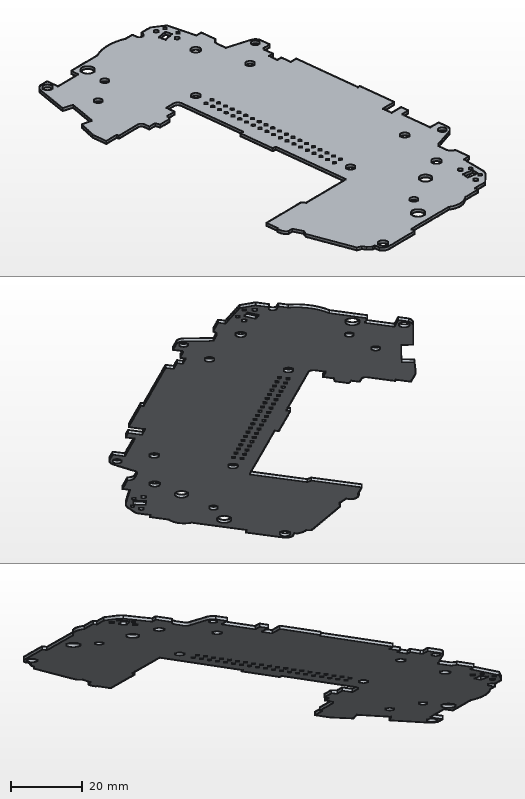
import cadquery as cq

thickness = 1.0
cut_margin = 1.3

left_x, right_x = -65.3, 65.3
left_side_x, right_side_x = -64.0, 63.9
left_bulge_y, left_bulge_half = 5.9, 6.0
right_bulge_x, right_bulge_y, right_bulge_half = 65.1, 7.8, 3.4
corner_start_y = -22.9
right_step_y, right_ledge_y = 16.7, -11.6
upper_left_x, upper_right_x = -62.9, 62.7
top_y = 36.5
shoulder_y = 26.9
shoulder_tab_y = 28.5
left_tab_start_x, left_tab_end_x = -50.3, -45.0
right_tab_start_x, right_tab_end_x = 45.0, 50.2
inner_y = -3.7
left_leg_x, right_leg_x = -30.8, 32.4
inner_corner = 1.3
left_foot_x, right_foot_x = -31.6, 31.2
left_foot_step_y = -28.5
left_foot_y, right_foot_y = -32.9, -36.1
lowest_y = -36.5
left_notch_x, left_notch_top_y, left_notch_bottom_y = -61.3, -11.2, -19.9

top_openings = [
    (-31.6, -21.0, 33.3),
    (-27.7, -24.6, 31.6),
    (-21.0, 2.1, 35.7),
    (15.0, 18.3, 31.6),
    (18.3, 21.0, 35.7),
    (21.0, 31.6, 32.9),
]

opening_blend_width, opening_blend_height = 0.7, 0.4

lug_tip_x, lug_root_x = -26.1, -27.7
lug_bottom_y, lug_top_y = -16.6, -11.5
lug_bottom_slant, lug_top_slant = 0.3, 0.7
lug_root_overlap = 0.7
tab_corner = 1.3
leg_tab_bottom_y = -19.1

inner_tabs = [
    (-6.1, 6.0, -4.8, inner_y),
    (left_leg_x, lug_root_x, leg_tab_bottom_y, -8.4),
]

edge_slot_y = 16.0
edge_slot_width = 2.4
edge_slot_end_x = -61.3

pin_columns, pin_rows = 20, 2
pin_pitch = 2.54
pin_diameter = 1.0
header_y = 2.1
mount_spacing_x, mount_spacing_y = 58.0, 23.0
mount_diameter = 2.7

round_holes = {
    2.5: [(-35.3, 34.4), (35.0, 34.2), (53.8, 0.9), (-53.5, -8.9), (-47.7, -18.2)],
    3.0: [(-45.3, 20.5), (45.0, 20.5), (-63.1, -22.2), (63.0, -22.5)],
    3.8: [(48.7, 11.6)],
    4.0: [(59.6, -3.8), (-60.9, -7.7)],
}

switch_tilt = 10.0
switches = [
    (-56.9, 21.2, switch_tilt, -0.7),
    (56.5, 20.9, -switch_tilt, 0.8),
]
switch_leg_spacing, switch_leg_diameter = 6.9, 1.5
switch_pin_spacing, switch_pin_diameter = 4.3, 1.1
switch_pin_offset = 2.6
switch_slot_width, switch_slot_length = 2.2, 3.5


def outline():
    """Board edge, clockwise from the lower end of the left side."""
    path = cq.Workplane("XY").moveTo(left_x, corner_start_y)

    path = path.lineTo(left_x, left_notch_bottom_y)
    path = path.lineTo(left_notch_x, left_notch_bottom_y)
    path = path.lineTo(left_notch_x, left_notch_top_y)
    path = path.lineTo(left_side_x, left_notch_top_y)
    path = path.lineTo(left_side_x, left_bulge_y - left_bulge_half)
    path = path.threePointArc((left_x, left_bulge_y), (left_side_x, left_bulge_y + left_bulge_half))
    path = path.lineTo(left_side_x, edge_slot_y)
    path = path.lineTo(upper_left_x, edge_slot_y)
    path = path.lineTo(upper_left_x, 21.0).lineTo(-60.1, 25.0)

    path = path.lineTo(left_tab_start_x, 26.4).lineTo(left_tab_start_x, shoulder_tab_y)
    path = path.lineTo(left_tab_end_x, shoulder_tab_y)
    path = path.threePointArc((-44.2, 27.3), (-42.9, shoulder_y))
    path = path.lineTo(-39.7, shoulder_y).lineTo(-37.2, 34.9)
    path = path.threePointArc((-36.6, 36.0), (-35.3, top_y))

    path = path.lineTo(35.3, top_y)
    path = path.threePointArc((36.5, 35.8), (37.2, 34.5))
    path = path.lineTo(39.1, 28.5)
    path = path.threePointArc((39.6, 27.3), (40.6, shoulder_y))
    path = path.lineTo(42.7, shoulder_y)
    path = path.threePointArc((44.2, 27.3), (right_tab_start_x, shoulder_tab_y))
    path = path.lineTo(right_tab_end_x, shoulder_tab_y).lineTo(right_tab_end_x, 26.3)
    path = path.lineTo(58.7, 25.2)
    path = path.threePointArc((59.6, 24.7), (60.4, 23.9))
    path = path.lineTo(upper_right_x, 21.0)

    path = path.lineTo(upper_right_x, right_step_y).lineTo(right_side_x, right_step_y)
    path = path.lineTo(right_side_x, right_bulge_y + right_bulge_half)
    path = path.threePointArc(
        (right_bulge_x, right_bulge_y), (right_side_x, right_bulge_y - right_bulge_half)
    )
    path = path.lineTo(right_side_x, right_ledge_y).lineTo(right_x, right_ledge_y)
    path = path.lineTo(right_x, corner_start_y)
    path = path.threePointArc((64.7, -24.3), (63.8, -25.0))

    path = path.lineTo(62.1, -25.0).lineTo(62.1, -25.7)
    path = path.lineTo(60.9, -27.0).lineTo(59.6, -27.7)
    path = path.lineTo(59.1, -29.1).lineTo(43.5, -33.2)
    path = path.lineTo(42.0, -32.4).lineTo(38.8, -33.6)
    path = path.lineTo(38.8, -35.2)
    path = path.threePointArc((37.9, -36.1), (36.7, lowest_y))
    path = path.lineTo(35.7, lowest_y).lineTo(35.4, right_foot_y)
    path = path.lineTo(right_foot_x, right_foot_y)

    path = path.lineTo(right_foot_x, -21.3).lineTo(right_leg_x, -20.5)
    path = path.lineTo(right_leg_x, inner_y).lineTo(left_leg_x + inner_corner, inner_y)
    path = path.threePointArc((-30.5, -4.2), (left_leg_x, inner_y - inner_corner))

    path = path.lineTo(left_leg_x, left_foot_step_y).lineTo(left_foot_x, left_foot_step_y)
    path = path.lineTo(left_foot_x, left_foot_y).lineTo(-36.6, left_foot_y)
    path = path.lineTo(-42.7, -30.8).lineTo(-42.0, -27.3)
    path = path.lineTo(-51.5, -24.6).lineTo(-52.5, -27.8)
    path = path.lineTo(-63.6, -24.7)
    path = path.threePointArc((-64.7, -23.9), (left_x, corner_start_y))
    return path.close()


def block(x_start, x_end, y_start, y_end):
    """Rectangular piece as thick as the board."""
    return cq.Workplane("XY").box(
        x_end - x_start, y_end - y_start, thickness, centered=False
    ).translate((x_start, y_start, -thickness / 2))


def plate(sketch):
    """Closed sketch extruded through the board thickness, centred on Z = 0."""
    return sketch.extrude(thickness).translate((0, 0, -thickness / 2))


def round_cut(centres, diameter):
    return plate(cq.Workplane("XY").pushPoints(centres).circle(diameter / 2))


def leg_tab_lug():
    """Lug with slanted corners on the tab of the left leg, and the blend below the tab."""
    lug = plate(
        cq.Workplane("XY").polyline([
            (lug_root_x - lug_root_overlap, lug_bottom_y),
            (lug_root_x, lug_bottom_y),
            (lug_tip_x, lug_bottom_y + lug_bottom_slant),
            (lug_tip_x, lug_top_y - lug_top_slant),
            (lug_root_x, lug_top_y),
            (lug_root_x - lug_root_overlap, lug_top_y),
        ]).close()
    )
    blend = plate(
        cq.Workplane("XY")
        .moveTo(left_leg_x, leg_tab_bottom_y)
        .lineTo(left_leg_x + tab_corner, leg_tab_bottom_y)
        .radiusArc((left_leg_x, leg_tab_bottom_y - tab_corner), -tab_corner)
        .close()
    )
    return lug.union(blend)


def opening_blend():
    """Triangle filling the left corner of the first top opening."""
    start_x, _, floor_y = top_openings[0]
    return plate(
        cq.Workplane("XY").polyline([
            (start_x, floor_y),
            (start_x, floor_y + opening_blend_height),
            (start_x + opening_blend_width, floor_y),
        ]).close()
    )


def edge_slot():
    radius = edge_slot_width / 2
    end_centre_x = edge_slot_end_x - radius
    straight = block(left_x - cut_margin, end_centre_x, edge_slot_y - radius, edge_slot_y + radius)
    return straight.union(round_cut([(end_centre_x, edge_slot_y)], edge_slot_width))


def switch_cut(x, y, tilt, slot_offset):
    """Two legs, two smaller pins and a rectangular slot, turned about the switch centre."""
    half_leg, half_pin = switch_leg_spacing / 2, switch_pin_spacing / 2
    legs = round_cut([(-half_leg, 0), (half_leg, 0)], switch_leg_diameter)
    pins = round_cut(
        [(-half_pin, switch_pin_offset), (half_pin, switch_pin_offset)], switch_pin_diameter
    )
    slot = plate(
        cq.Workplane("XY").center(0, slot_offset).rect(switch_slot_width, switch_slot_length)
    )
    cut = legs.union(pins).union(slot)
    return cut.rotate((0, 0, 0), (0, 0, 1), tilt).translate((x, y, 0))


board = plate(outline())

for x_start, x_end, y_start, y_end in inner_tabs:
    board = board.union(block(x_start, x_end, y_start, y_end))
board = board.union(leg_tab_lug())

for x_start, x_end, floor_y in top_openings:
    board = board.cut(block(x_start, x_end, floor_y, top_y + cut_margin))
board = board.union(opening_blend())
board = board.cut(edge_slot())

header_pins = cq.Workplane("XY").center(0, header_y).rarray(
    pin_pitch, pin_pitch, pin_columns, pin_rows
)
board = board.cut(plate(header_pins.circle(pin_diameter / 2)))

mount_y = header_y + mount_spacing_y / 2
mounts = cq.Workplane("XY").center(0, mount_y).rarray(mount_spacing_x, mount_spacing_y, 2, 2)
board = board.cut(plate(mounts.circle(mount_diameter / 2)))

for diameter, centres in round_holes.items():
    board = board.cut(round_cut(centres, diameter))

for x, y, tilt, slot_offset in switches:
    board = board.cut(switch_cut(x, y, tilt, slot_offset))

result = board